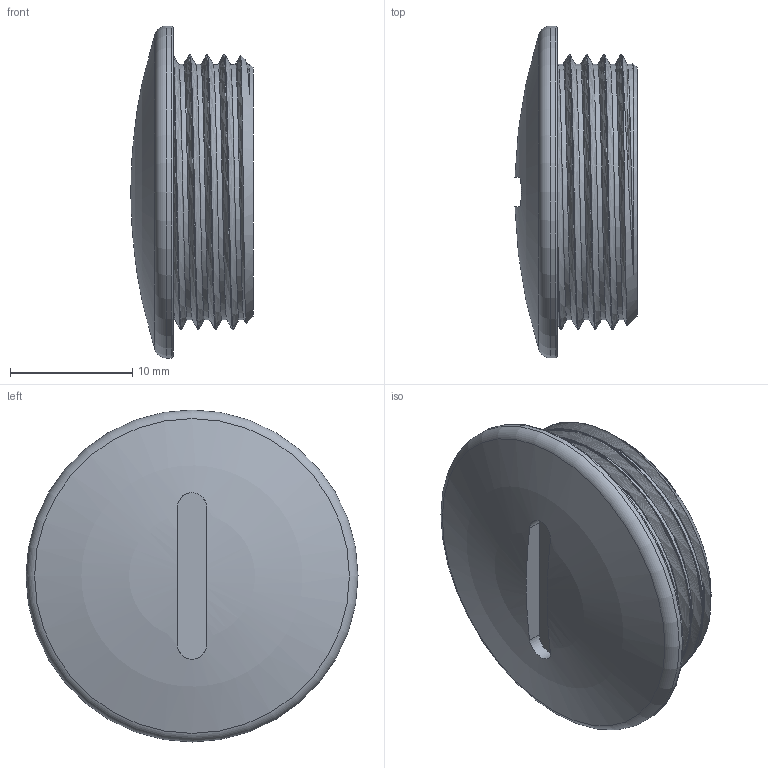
import cadquery as cq
import math


head_height = 3.49
head_radius = 27.11 / 2
dome_radius = 43.0
front_fillet = 1.0
back_fillet = 0.2

slot_width = 2.4
slot_length = 13.6
slot_depth = 1.5

shank_length = 6.5
root_radius = 10.43
crest_radius = 11.25
tip_radius = 10.15
pitch = 1.411
flank_half_angle = math.radians(30)
crest_flat = 0.06
first_crest_x = 0.62
spiral_steps = 6
groove_overcut = 0.15
trim_clearance = 0.2


def make_head():
    """Revolve the dome, its rounded rim and the flat back face about X."""
    dome_center_x = dome_radius - head_height
    fillet_center_r = head_radius - front_fillet
    inner_dome_radius = dome_radius - front_fillet
    fillet_center_x = dome_center_x - math.sqrt(inner_dome_radius**2 - fillet_center_r**2)

    rim_angle = math.asin(fillet_center_r / inner_dome_radius)

    def on_dome(angle):
        return (dome_center_x - dome_radius * math.cos(angle), dome_radius * math.sin(angle))

    fillet_mid_angle = (rim_angle + math.pi / 2) / 2
    fillet_mid = (
        fillet_center_x - front_fillet * math.cos(fillet_mid_angle),
        fillet_center_r + front_fillet * math.sin(fillet_mid_angle),
    )
    profile = (
        cq.Workplane("XY")
        .moveTo(0, 0)
        .lineTo(-head_height, 0)
        .threePointArc(on_dome(rim_angle / 2), on_dome(rim_angle))
        .threePointArc(fillet_mid, (fillet_center_x, head_radius))
        .lineTo(0, head_radius)
        .close()
    )
    head = profile.revolve(360, (0, 0, 0), (1, 0, 0))
    return head.faces(">X").edges().fillet(back_fillet)


def make_slot():
    """Round-ended slot cutter, open towards -X."""
    return (
        cq.Workplane("YZ", origin=(-head_height, 0, 0))
        .slot2D(slot_length, slot_width, 90)
        .extrude(slot_depth)
    )


def polar(radius, angle):
    return (radius * math.cos(angle), radius * math.sin(angle))


def thread_section():
    """Cross-section of the threaded shank, with the crest on local +X.

    A helical thread cut square to its axis is a crest arc and a root arc
    joined by two spirals, one for each flank.
    """
    groove_radius = root_radius - groove_overcut
    thread_height = crest_radius - groove_radius
    radians_per_mm = 2 * math.pi / pitch
    crest_edge = radians_per_mm * crest_flat / 2
    flank_sweep = radians_per_mm * thread_height * math.tan(flank_half_angle)

    def flank_points(side):
        """Spiral points from crest to root; side is +1 or -1."""
        steps = [i / spiral_steps for i in range(spiral_steps + 1)]
        return [
            polar(crest_radius - thread_height * t, side * (crest_edge + flank_sweep * t))
            for t in steps
        ]

    falling = flank_points(1)
    rising = flank_points(-1)[::-1]
    return (
        cq.Workplane("XY")
        .moveTo(*rising[0])
        .spline(rising[1:], includeCurrent=True)
        .threePointArc(polar(crest_radius, 0), falling[0])
        .spline(falling[1:], includeCurrent=True)
        .threePointArc(polar(groove_radius, math.pi), rising[0])
        .close()
    )


def make_threaded_shank():
    """Right-handed threaded rod along X, trimmed to the 45 degree lead-in chamfer."""
    turn_per_mm = 360 / pitch

    rod = (
        thread_section()
        .twistExtrude(shank_length, turn_per_mm * shank_length)
        .rotate((0, 0, 0), (0, 0, 1), -turn_per_mm * first_crest_x)
        .rotate((0, 0, 0), (0, 1, 0), 90)
    )
    trim_radius = crest_radius + trim_clearance
    envelope = (
        cq.Workplane("YZ")
        .circle(trim_radius)
        .extrude(shank_length)
        .faces(">X")
        .chamfer(trim_radius - tip_radius)
    )
    core = cq.Workplane("YZ").circle(root_radius).extrude(shank_length)
    return rod.union(core).intersect(envelope)


result = make_head().cut(make_slot()).union(make_threaded_shank())